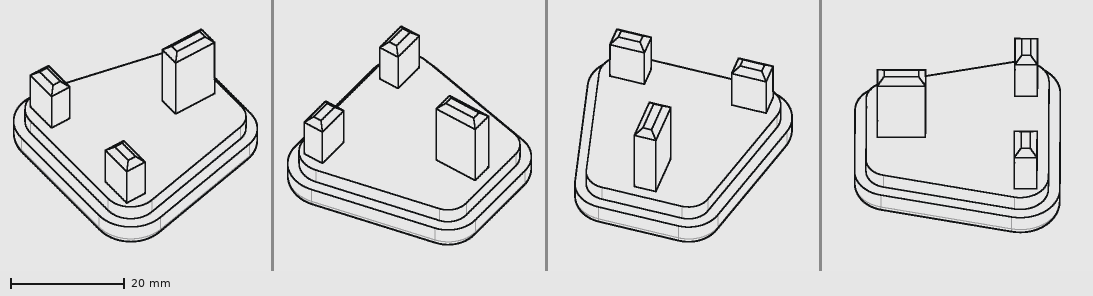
import cadquery as cq
import math

plate_width = 37.3
plate_depth = 36.25
plate_height = 5.0
bottom_fillet = 2.0
wide_corner_radius = 6.98
narrow_corner_radius = 5.97
narrow_flat_width = 14.85

step_inset = 2.0
step_height = 3.02

boss_diameter = 14.0
boss_height = 1.68

overall_height = 23.9
long_pin_height = overall_height - boss_height - plate_height - step_height
long_pin_width = 4.0
long_pin_depth = 8.5
long_pin_y = 9.9
short_pin_height = 9.18
short_pin_width = 6.4
short_pin_depth = 4.0
short_pin_x = 11.3
short_pin_y = -12.1
tip_height = 1.15
tip_inset = 1.2

step_top = plate_height + step_height


def rounded_trapezoid(inset, height):
    """Prism whose side lines are the outer tangents of its corner arcs."""
    wide_radius = wide_corner_radius - inset
    narrow_radius = narrow_corner_radius - inset
    wide_x = plate_width / 2 - wide_corner_radius
    wide_y = -plate_depth / 2 + wide_corner_radius
    narrow_x = narrow_flat_width / 2
    narrow_y = plate_depth / 2 - narrow_corner_radius

    run = wide_x - narrow_x
    rise = narrow_y - wide_y
    lean = math.atan2(run, rise)
    radius_turn = math.asin((wide_radius - narrow_radius) / math.hypot(run, rise))
    normal = lean + radius_turn

    def on_wide(angle):
        return (wide_x + wide_radius * math.cos(angle), wide_y + wide_radius * math.sin(angle))

    def on_narrow(angle):
        return (narrow_x + narrow_radius * math.cos(angle), narrow_y + narrow_radius * math.sin(angle))

    def mirrored(point):
        return (-point[0], point[1])

    down = -math.pi / 2
    up = math.pi / 2
    wide_middle = on_wide((down + normal) / 2)
    narrow_middle = on_narrow((normal + up) / 2)
    return (
        cq.Workplane("XY")
        .moveTo(*mirrored(on_wide(down)))
        .lineTo(*on_wide(down))
        .threePointArc(wide_middle, on_wide(normal))
        .lineTo(*on_narrow(normal))
        .threePointArc(narrow_middle, on_narrow(up))
        .lineTo(*mirrored(on_narrow(up)))
        .threePointArc(mirrored(narrow_middle), mirrored(on_narrow(normal)))
        .lineTo(*mirrored(on_wide(normal)))
        .threePointArc(mirrored(wide_middle), mirrored(on_wide(down)))
        .close()
        .extrude(height)
    )


def pin(x, y, width, depth, height):
    """Rectangular pin on the step, with all four sides of its tip bevelled."""
    shaft = (
        cq.Workplane("XY", origin=(x, y, step_top))
        .rect(width, depth)
        .extrude(height)
    )
    return shaft.faces(">Z").chamfer(tip_height, tip_inset)


plate = rounded_trapezoid(0, plate_height).faces("<Z").edges().fillet(bottom_fillet)
step = rounded_trapezoid(step_inset, step_height).translate((0, 0, plate_height))
boss = cq.Workplane("XY").circle(boss_diameter / 2).extrude(-boss_height)

result = plate.union(step).union(boss)
result = result.union(pin(0, long_pin_y, long_pin_width, long_pin_depth, long_pin_height))
for side in (-1, 1):
    result = result.union(
        pin(side * short_pin_x, short_pin_y, short_pin_width, short_pin_depth, short_pin_height)
    )